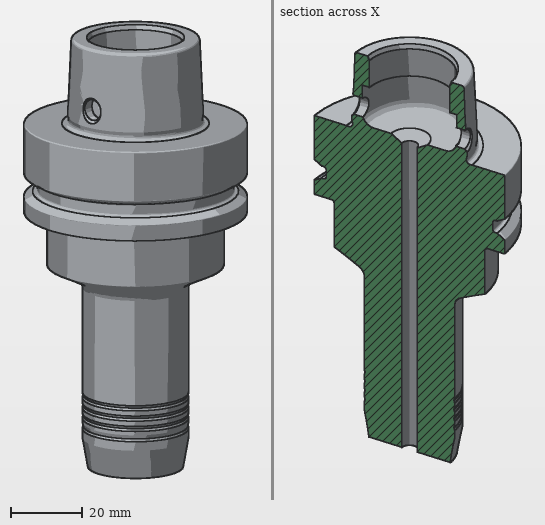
import cadquery as cq
import math

TOTAL_LENGTH = 124.9
TAPER_LENGTH = 25.0
FLANGE_WIDTH = 26.0
NECK_LENGTH = 15.1
FLANGE_TOP = TOTAL_LENGTH - TAPER_LENGTH
FLANGE_BOTTOM = FLANGE_TOP - FLANGE_WIDTH
NECK_BOTTOM = FLANGE_BOTTOM - NECK_LENGTH

TAPER_TOP_RADIUS = 18.1
TAPER_BASE_RADIUS = 19.1
TAPER_BASE_HEIGHT = 2.4
RELIEF_RADIUS = 18.9
RELIEF_HEIGHT = 1.4
RELIEF_ROUND = 1.1
SHANK_RIM_ROUND = 1.0
FACE_RECESS_RADIUS = 20.7
FACE_RECESS_DEPTH = 0.06

FLANGE_RADIUS = 31.5
GROOVE_FLOOR_RADIUS = 27.6
GROOVE_CENTER = 82.0
GROOVE_WIDTH = 3.9
GROOVE_MOUTH_WIDTH = 6.7
GROOVE_MOUTH_ANGLE = 30
GROOVE_FLOOR_ROUND = 0.7
FLANGE_EDGE_ROUND = 0.4

NECK_RADIUS = 25.0
NECK_ROOT_ROUND = 0.7
NECK_EDGE_ROUND = 0.4
SHOULDER_ANGLE = 25.5
SHOULDER_ROUND = 3.0

NOSE_RADIUS = 15.0
NOSE_TAPER_LENGTH = 8.5
NOSE_TAPER_ANGLE = 10
RING_COUNT = 4
RING_PITCH = 3.0
RING_FLANK_WIDTH = 0.7
RING_DEPTH = 0.2
LOWEST_RING_Z = 11.9
LOWEST_RING_UPPER_WIDTH = 1.1

BORE_RADIUS = 13.2
BORE_CHAMFER_WIDTH = 0.5
BORE_CHAMFER_DEPTH = 1.4
BORE_LAND_DEPTH = 10.2
UNDERCUT_RADIUS = 15.5
BORE_FLOOR_Z = 101.9
BORE_FLOOR_ROUND = 3.6
COOLANT_RADIUS = 2.5
COOLANT_CONE_RADIUS = 6.0
COOLANT_CONE_ANGLE = 59

CROSS_HOLE_RADIUS = 3.0
CROSS_HOLE_Z = 107.4
CROSS_HOLE_CHAMFER = 0.6
CROSS_HOLE_OVERSHOOT = 0.7


def tan_deg(angle):
    return math.tan(math.radians(angle))


def revolve_outline(points):
    """Solid of revolution about Z from a closed (radius, z) outline."""
    return cq.Workplane("XZ").polyline(points).close().revolve(360, (0, 0, 0), (0, 1, 0))


def circle_at(radius, z):
    """Test that picks the circular edges of a given radius and height."""
    return lambda edge: (
        edge.geomType() == "CIRCLE"
        and abs(edge.radius() - radius) < 0.001
        and abs(edge.Center().z - z) < 0.001
    )


def round_circles(body, size, circles):
    """Fillet the circular edges given as (radius, z) pairs."""
    tests = [circle_at(radius, z) for radius, z in circles]
    edges = [edge for edge in body.edges().vals() if any(test(edge) for test in tests)]
    return body.newObject(edges).fillet(size)


def make_body():
    shoulder_root_z = NECK_BOTTOM - (NECK_RADIUS - NOSE_RADIUS) * tan_deg(SHOULDER_ANGLE)
    recess_z = FLANGE_TOP - FACE_RECESS_DEPTH
    nose_end_radius = NOSE_RADIUS - NOSE_TAPER_LENGTH * tan_deg(NOSE_TAPER_ANGLE)
    mouth_half = GROOVE_MOUTH_WIDTH / 2
    groove_half = GROOVE_WIDTH / 2
    mouth_start_radius = FLANGE_RADIUS - (mouth_half - groove_half) / tan_deg(GROOVE_MOUTH_ANGLE)
    body = revolve_outline([
        (0, 0),
        (nose_end_radius, 0),
        (NOSE_RADIUS, NOSE_TAPER_LENGTH),
        (NOSE_RADIUS, shoulder_root_z),
        (NECK_RADIUS, NECK_BOTTOM),
        (NECK_RADIUS, FLANGE_BOTTOM),
        (FLANGE_RADIUS, FLANGE_BOTTOM),
        (FLANGE_RADIUS, GROOVE_CENTER - mouth_half),
        (mouth_start_radius, GROOVE_CENTER - groove_half),
        (GROOVE_FLOOR_RADIUS, GROOVE_CENTER - groove_half),
        (GROOVE_FLOOR_RADIUS, GROOVE_CENTER + groove_half),
        (mouth_start_radius, GROOVE_CENTER + groove_half),
        (FLANGE_RADIUS, GROOVE_CENTER + mouth_half),
        (FLANGE_RADIUS, FLANGE_TOP),
        (FACE_RECESS_RADIUS, FLANGE_TOP),
        (FACE_RECESS_RADIUS, recess_z),
        (RELIEF_RADIUS, recess_z),
        (RELIEF_RADIUS, FLANGE_TOP + RELIEF_HEIGHT),
        (TAPER_BASE_RADIUS, FLANGE_TOP + TAPER_BASE_HEIGHT),
        (TAPER_TOP_RADIUS, TOTAL_LENGTH),
        (0, TOTAL_LENGTH),
    ])
    body = round_circles(body, SHANK_RIM_ROUND, [(TAPER_TOP_RADIUS, TOTAL_LENGTH)])
    body = round_circles(body, RELIEF_ROUND, [(RELIEF_RADIUS, recess_z)])
    body = round_circles(body, GROOVE_FLOOR_ROUND, [
        (GROOVE_FLOOR_RADIUS, GROOVE_CENTER - groove_half),
        (GROOVE_FLOOR_RADIUS, GROOVE_CENTER + groove_half),
    ])
    body = round_circles(body, FLANGE_EDGE_ROUND, [
        (FLANGE_RADIUS, FLANGE_BOTTOM),
        (FLANGE_RADIUS, GROOVE_CENTER - mouth_half),
        (FLANGE_RADIUS, GROOVE_CENTER + mouth_half),
        (FLANGE_RADIUS, FLANGE_TOP),
    ])
    body = round_circles(body, NECK_ROOT_ROUND, [(NECK_RADIUS, FLANGE_BOTTOM)])
    body = round_circles(body, NECK_EDGE_ROUND, [(NECK_RADIUS, NECK_BOTTOM)])
    return round_circles(body, SHOULDER_ROUND, [(NOSE_RADIUS, shoulder_root_z)])


def make_nose_ring(z, upper_width):
    """Ring cutter with a V section: root at height z, flanks carried past the nose surface."""
    return revolve_outline([
        (NOSE_RADIUS - RING_DEPTH, z),
        (NOSE_RADIUS + RING_DEPTH, z - 2 * RING_FLANK_WIDTH),
        (NOSE_RADIUS + RING_DEPTH, z + 2 * upper_width),
    ])


def make_bore():
    """Chamfered mouth, clamping land, undercut with rounded floor, coolant passage."""
    land_z = TOTAL_LENGTH - BORE_LAND_DEPTH
    cone_depth = (COOLANT_CONE_RADIUS - COOLANT_RADIUS) / tan_deg(COOLANT_CONE_ANGLE)
    bore = revolve_outline([
        (0, 0),
        (COOLANT_RADIUS, 0),
        (COOLANT_RADIUS, BORE_FLOOR_Z - cone_depth),
        (COOLANT_CONE_RADIUS, BORE_FLOOR_Z),
        (UNDERCUT_RADIUS, BORE_FLOOR_Z),
        (UNDERCUT_RADIUS, land_z),
        (BORE_RADIUS, land_z),
        (BORE_RADIUS, TOTAL_LENGTH - BORE_CHAMFER_DEPTH),
        (BORE_RADIUS + BORE_CHAMFER_WIDTH, TOTAL_LENGTH),
        (0, TOTAL_LENGTH),
    ])
    return round_circles(bore, BORE_FLOOR_ROUND, [(UNDERCUT_RADIUS, BORE_FLOOR_Z)])


def make_cross_hole():
    """Through hole along Y, countersunk where it breaks the taper on both sides."""
    slope = (TAPER_BASE_RADIUS - TAPER_TOP_RADIUS) / (TAPER_LENGTH - TAPER_BASE_HEIGHT)
    wall_radius = TAPER_TOP_RADIUS + slope * (TOTAL_LENGTH - CROSS_HOLE_Z)
    reach = wall_radius + CROSS_HOLE_OVERSHOOT
    cutter_depth = CROSS_HOLE_CHAMFER + CROSS_HOLE_OVERSHOOT
    mouth_radius = CROSS_HOLE_RADIUS + cutter_depth
    half_outline = [
        (0, -reach),
        (mouth_radius, -reach),
        (CROSS_HOLE_RADIUS, -reach + cutter_depth),
        (CROSS_HOLE_RADIUS, reach - cutter_depth),
        (mouth_radius, reach),
        (0, reach),
    ]
    hole = cq.Workplane("XY").polyline(half_outline).close().revolve(360, (0, 0, 0), (0, 1, 0))
    return hole.translate((0, 0, CROSS_HOLE_Z))


result = make_body()
for ring in range(RING_COUNT):
    flank_width = LOWEST_RING_UPPER_WIDTH if ring == 0 else RING_FLANK_WIDTH
    result = result.cut(make_nose_ring(LOWEST_RING_Z + ring * RING_PITCH, flank_width))
result = result.cut(make_bore()).cut(make_cross_hole())